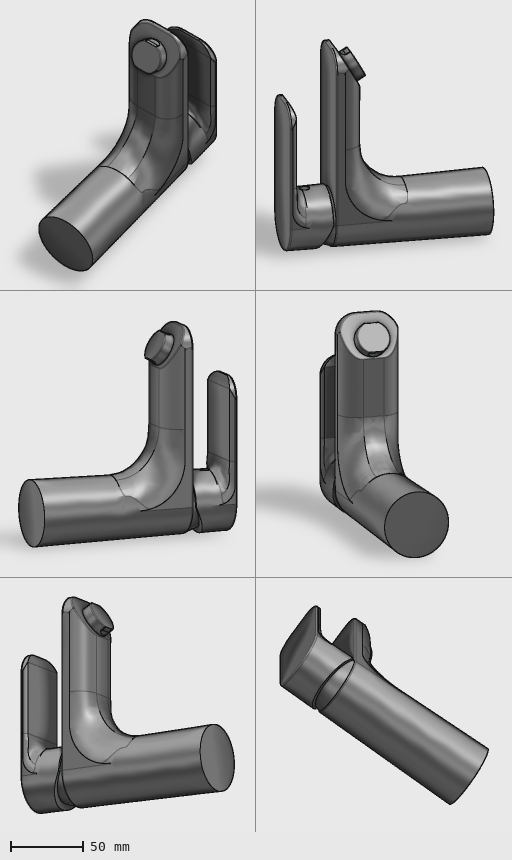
import cadquery as cq
import math

BACK_RADIUS = 21.8
END_RADIUS = 23.5
BODY_LENGTH = 112.5
TAPER = (END_RADIUS - BACK_RADIUS) / BODY_LENGTH
BACK_FILLET = 1.0

SPOUT_TOP = 126.0
SPOUT_DEPTH = 20.0
SPOUT_SIDE = 6.0
SPOUT_FLAT = 7.6
SPOUT_END_FLAT = 9.0
SPOUT_INNER_RADIUS = 32.9
SPOUT_OUTER_RADIUS = 32.9
SPOUT_TOP_CORNER = 14.5

OUTLET_TILT = 30.0
OUTLET_TOP_DEPTH = 3.3
OUTLET_FILLET = 0.7
AERATOR_RADIUS = 12.0
AERATOR_HEIGHT = 7.6
AERATOR_SINK = 1.5
AERATOR_FILLET = 0.6
AERATOR_CENTRE_Z = 108.4
NOTCH_WIDTH = 9.3
NOTCH_DEPTH = 1.5
NOTCH_START = 1.2
NOTCH_FLOOR_START = 3.9

HANDLE_BACK = 32.9
HANDLE_LENGTH = 31.0
HANDLE_TOP = 88.8
HANDLE_DEPTH = 5.0
HANDLE_SIDE = 1.3
HANDLE_FLAT = 19.9
HANDLE_END_FLAT = 20.6
HANDLE_INNER_RADIUS = 8.2
HANDLE_OUTER_RADIUS = 12.0
HANDLE_TOP_CORNER = 15.0
TIP_DEPTH = 2.4
TIP_HEIGHT = 7.8
TIP_BULGE = 0.5
UNDERCUT_DEPTH = 9.9
CAP_RADIUS = 3.6
CAP_FROM_BACK = 15.7
CAP_RECESS = 0.5

NECK_RADIUS = 21.2
NECK_TIP_RADIUS = 17.2
NECK_LENGTH = 12.0
NECK_SINK = 1.5

ELBOW_STEPS = 6
LEAST_BLEND = 0.003

LAP = 0.03
FOOT_INSET = 0.9
WEB_OVERLAP = 0.5

MARGIN = 15.0


def half_width(depth):
    """Half width of the tapered base at a distance in front of its back face."""
    return BACK_RADIUS + TAPER * depth


def across(profile):
    """Extrude a side profile through the whole width of the part."""
    return profile.extrude(2 * END_RADIUS, both=True)


def base(length):
    profile = [(0, 0), (half_width(0), 0), (half_width(length), -length), (0, -length)]
    return cq.Workplane("XY").polyline(profile).close().revolve(360, (0, 0, 0), (0, 1, 0))


def arm(top, depth, side, flat, end_flat, inner_radius, outer_radius, corner):
    """Flat-backed upright and the elbow that turns it into the round base.

    The flat sides reach `side` forward of the back face. From there the section rounds over to a
    front strip of half width `flat`, which widens to `end_flat` through the elbow.
    """
    centre_depth = depth + inner_radius
    centre_z = half_width(centre_depth) + LAP + inner_radius

    def distance_to_back(angle):
        """Distance from the elbow centre to the edge of the flat sides."""
        along, down = math.cos(angle), math.sin(angle)
        offset = centre_depth - side - outer_radius
        drop = centre_z - outer_radius
        middle = offset * along + drop * down
        chord_offset = drop * along - offset * down
        round_distance = middle + math.sqrt(max(outer_radius**2 - chord_offset**2, 0))
        if centre_z - round_distance * down > outer_radius:
            return (centre_depth - side) / along
        if centre_depth - round_distance * along > side + outer_radius:
            return centre_z / down
        return round_distance

    def section(angle):
        """Arched section that blends from a rounded rectangle into a half circle."""
        blend = LEAST_BLEND + (1 - LEAST_BLEND) * math.sin(angle) ** 2
        reach = distance_to_back(angle)
        wide = half_width(centre_depth - reach * math.cos(angle)) - LAP
        high = reach - inner_radius
        shoulder = flat + (end_flat - flat) * blend
        circle_shoulder = high * math.sqrt(1 - (shoulder / wide) ** 2)
        shoulder_z = high + (circle_shoulder - high) * blend
        side_radius = ((wide - shoulder) ** 2 + shoulder_z**2) / (2 * (wide - shoulder))
        arc_centre = wide - side_radius
        half_arc = math.atan2(shoulder_z, shoulder - arc_centre) / 2
        mid_x = arc_centre + side_radius * math.cos(half_arc)
        mid_z = side_radius * math.sin(half_arc)
        origin = (0, -centre_depth + reach * math.cos(angle), centre_z - reach * math.sin(angle))
        normal = (0, -math.sin(angle), -math.cos(angle))
        foot = wide - FOOT_INSET
        return (
            cq.Workplane(cq.Plane(origin, (1, 0, 0), normal))
            .moveTo(-foot, -FOOT_INSET)
            .lineTo(-wide, 0)
            .threePointArc((-mid_x, mid_z), (-shoulder, shoulder_z))
            .threePointArc((0, high), (shoulder, shoulder_z))
            .threePointArc((mid_x, mid_z), (wide, 0))
            .lineTo(foot, -FOOT_INSET)
            .close()
        )

    angles = [math.pi / 2 * step / ELBOW_STEPS for step in range(ELBOW_STEPS + 1)]
    elbow = cq.Workplane(cq.Solid.makeLoft([section(angle).wires().val() for angle in angles]))
    upright = section(0).extrude(centre_z - top)

    web_side = side + WEB_OVERLAP
    web = across(
        cq.Workplane("YZ")
        .lineTo(0, top)
        .lineTo(-web_side, top)
        .lineTo(-web_side, outer_radius + WEB_OVERLAP)
        .radiusArc((-web_side - outer_radius, WEB_OVERLAP), outer_radius)
        .lineTo(-web_side - outer_radius - WEB_OVERLAP, 0)
        .close()
    )
    web_plan = [
        (-half_width(0), 0),
        (half_width(0), 0),
        (half_width(centre_depth), -centre_depth),
        (-half_width(centre_depth), -centre_depth),
    ]
    web = web.intersect(cq.Workplane("XY").polyline(web_plan).close().extrude(top))

    wide = half_width(side)
    outline = (
        cq.Workplane("XY")
        .box(2 * wide, 4 * depth, top, centered=(True, True, False))
        .edges(">Z and |Y")
        .fillet(corner)
    )
    corners = (
        cq.Workplane("XY", origin=(0, 0, top - corner))
        .box(4 * wide, 3 * depth, corner + MARGIN, centered=(True, True, False))
        .cut(outline)
    )
    return web.union(upright).union(elbow).cut(corners)


def back_edge(top, corner):
    """Material to remove so that the rim of a back face is rounded."""
    wide = half_width(BACK_FILLET)
    bend = 1 - math.sqrt(0.5)
    plate = (
        cq.Workplane("XZ")
        .moveTo(-wide, 0)
        .lineTo(-wide, top - corner)
        .threePointArc((-wide + corner * bend, top - corner * bend), (-wide + corner, top))
        .lineTo(wide - corner, top)
        .threePointArc((wide - corner * bend, top - corner * bend), (wide, top - corner))
        .lineTo(wide, 0)
        .threePointArc((0, -wide), (-wide, 0))
        .close()
        .extrude(2 * BACK_FILLET)
        .faces(">Y")
        .edges()
        .fillet(BACK_FILLET)
    )
    slab = cq.Workplane("XZ").rect(4 * END_RADIUS, 4 * top).extrude(BACK_FILLET)
    return slab.cut(plate)


def outlet_plane(z):
    """Plane of the outlet face, centred at the given height."""
    tilt = math.radians(OUTLET_TILT)
    y = -OUTLET_TOP_DEPTH - (SPOUT_TOP - z) * math.tan(tilt)
    return cq.Plane((0, y, z), (1, 0, 0), (0, -math.cos(tilt), math.sin(tilt)))


def aerator():
    """Round outlet nozzle with a ramped flat on its upper and lower sides."""
    nozzle = (
        cq.Workplane("XY", origin=(0, 0, -AERATOR_SINK))
        .circle(AERATOR_RADIUS)
        .extrude(AERATOR_SINK + AERATOR_HEIGHT)
        .faces(">Z")
        .edges()
        .fillet(AERATOR_FILLET)
    )
    floor = AERATOR_RADIUS - NOTCH_DEPTH
    notch = (
        cq.Workplane("YZ")
        .moveTo(AERATOR_RADIUS, NOTCH_START)
        .lineTo(floor, NOTCH_FLOOR_START)
        .lineTo(floor, AERATOR_HEIGHT)
        .lineTo(AERATOR_RADIUS, AERATOR_HEIGHT)
        .close()
        .extrude(NOTCH_WIDTH / 2, both=True)
    )
    nozzle = nozzle.cut(notch).cut(notch.mirror("XZ"))
    return cq.Workplane(nozzle.val().moved(cq.Location(outlet_plane(AERATOR_CENTRE_Z))))


def body():
    spout = arm(
        SPOUT_TOP, SPOUT_DEPTH, SPOUT_SIDE, SPOUT_FLAT, SPOUT_END_FLAT,
        SPOUT_INNER_RADIUS, SPOUT_OUTER_RADIUS, SPOUT_TOP_CORNER,
    )
    face_plane = outlet_plane(SPOUT_TOP)
    removed = cq.Workplane(face_plane).rect(4 * END_RADIUS, 2 * SPOUT_TOP).extrude(2 * SPOUT_DEPTH)
    outlet_face = cq.selectors.DirectionMinMaxSelector(face_plane.zDir, True)
    spout = spout.cut(removed).faces(outlet_face).edges().fillet(OUTLET_FILLET)
    solid = spout.union(base(BODY_LENGTH)).cut(back_edge(SPOUT_TOP, SPOUT_TOP_CORNER))
    return solid.union(aerator())


def handle():
    lever = arm(
        HANDLE_TOP, HANDLE_DEPTH, HANDLE_SIDE, HANDLE_FLAT, HANDLE_END_FLAT,
        HANDLE_INNER_RADIUS, HANDLE_OUTER_RADIUS, HANDLE_TOP_CORNER,
    )
    tip_bottom = HANDLE_TOP - TIP_HEIGHT
    tip_middle = (-(TIP_DEPTH + HANDLE_DEPTH) / 2 - TIP_BULGE, HANDLE_TOP - TIP_HEIGHT / 2)
    tip = across(
        cq.Workplane("YZ")
        .moveTo(-TIP_DEPTH, HANDLE_TOP)
        .threePointArc(tip_middle, (-HANDLE_DEPTH, tip_bottom))
        .lineTo(-2 * HANDLE_DEPTH, tip_bottom)
        .lineTo(-2 * HANDLE_DEPTH, HANDLE_TOP)
        .close()
    )
    drop = 2 * BACK_RADIUS
    undercut_points = [
        (-HANDLE_LENGTH, 0),
        (-HANDLE_LENGTH + drop * UNDERCUT_DEPTH / BACK_RADIUS, -drop),
        (-HANDLE_LENGTH - MARGIN, -drop),
        (-HANDLE_LENGTH - MARGIN, 0),
    ]
    undercut = across(cq.Workplane("YZ").polyline(undercut_points).close())
    recess = (
        cq.Workplane("XY", origin=(0, -CAP_FROM_BACK, half_width(CAP_FROM_BACK) - CAP_RECESS))
        .circle(CAP_RADIUS)
        .extrude(MARGIN)
    )
    solid = lever.cut(tip).union(base(HANDLE_LENGTH))
    solid = solid.cut(back_edge(HANDLE_TOP, HANDLE_TOP_CORNER))
    return solid.cut(undercut).cut(recess).translate((0, HANDLE_BACK, 0))


def neck():
    profile = [
        (0, -NECK_SINK),
        (NECK_RADIUS, -NECK_SINK),
        (NECK_RADIUS, 0),
        (NECK_TIP_RADIUS, NECK_LENGTH),
        (0, NECK_LENGTH),
    ]
    return cq.Workplane("XY").polyline(profile).close().revolve(360, (0, 0, 0), (0, 1, 0))


result = body().union(neck()).union(handle())